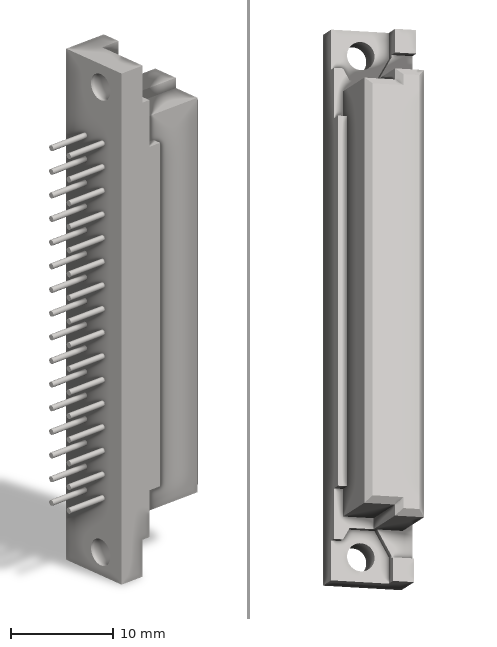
import cadquery as cq
import math

WIDTH = 8.0
HEIGHT = 54.9
FLOOR_DEPTH = 2.8
WEB_DEPTH = 3.7
RIM_DEPTH = 5.1
TOP_TAB_DEPTH = 5.0
BOTTOM_TAB_DEPTH = 4.3
SIDE_WALL = 2.15
TAB_HEIGHT = 2.35
RIM_END_GAP = 9.0

BODY_LEFT = 1.0
BODY_RIGHT = 7.1
BODY_DEPTH = 11.6
BODY_END_GAP = 5.15
BODY_STEP = 1.1
STEP_X = 3.95
BODY_CHAMFER = 0.65

HOLE_DIAMETER = 2.8
HOLE_X = 5.0
HOLE_END_GAP = 2.45
FLANK_SLOPE = math.tan(math.radians(60))

PIN_DIAMETER = 0.6
PIN_LENGTH = 4.5
PIN_ROWS = 16
PIN_ROW_SPAN = 38.1
PIN_PITCH = PIN_ROW_SPAN / (PIN_ROWS - 1)
PIN_COLUMNS = 2
PIN_FIRST_X = 2.75
PIN_FIRST_Z = (HEIGHT - PIN_ROW_SPAN) / 2


def block(x_min, x_max, depth, z_min, z_max):
    """Block standing on the pin face."""
    return (
        cq.Workplane("XY")
        .box(x_max - x_min, depth, z_max - z_min, centered=False)
        .translate((x_min, 0, z_min))
    )


def plate(outline, depth):
    """Closed X-Z outline extruded along +Y from the pin face."""
    return cq.Workplane("XZ").polyline(outline).close().extrude(-depth)


def make_flange():
    floor = block(0, WIDTH, FLOOR_DEPTH, 0, HEIGHT)
    side_wall = block(0, SIDE_WALL, WEB_DEPTH, 0, HEIGHT)
    rim = block(0, WIDTH, RIM_DEPTH, RIM_END_GAP, HEIGHT - RIM_END_GAP)
    top_tab = block(0, SIDE_WALL, TOP_TAB_DEPTH, HEIGHT - TAB_HEIGHT, HEIGHT)
    bottom_tab = block(0, SIDE_WALL, BOTTOM_TAB_DEPTH, 0, TAB_HEIGHT)
    return floor.union(side_wall).union(rim).union(top_tab).union(bottom_tab)


def make_top_seat():
    """Raised seat below the top hole: flat under the hole, flanks rising to both sides."""
    base = HEIGHT - RIM_END_GAP
    seat = HEIGHT - BODY_END_GAP
    flat_left = HOLE_X - HOLE_DIAMETER / 2
    flat_right = HOLE_X + HOLE_DIAMETER / 2
    left_top = seat + (flat_left - SIDE_WALL) * FLANK_SLOPE
    right_top = seat + (BODY_RIGHT - flat_right) * FLANK_SLOPE
    outline = [
        (SIDE_WALL, base),
        (SIDE_WALL, left_top),
        (flat_left, seat),
        (flat_right, seat),
        (BODY_RIGHT, right_top),
        (WIDTH, right_top),
        (WIDTH, base),
    ]
    return plate(outline, WEB_DEPTH)


def make_body():
    """Stepped mating body with a chamfered front."""
    bottom = BODY_END_GAP
    top = HEIGHT - BODY_END_GAP
    outline = [
        (BODY_LEFT, bottom),
        (STEP_X, bottom),
        (STEP_X, bottom + BODY_STEP),
        (BODY_RIGHT, bottom + BODY_STEP),
        (BODY_RIGHT, top - BODY_STEP),
        (STEP_X, top - BODY_STEP),
        (STEP_X, top),
        (BODY_LEFT, top),
    ]
    return plate(outline, BODY_DEPTH).faces(">Y").chamfer(BODY_CHAMFER)


def make_holes():
    centers = [(HOLE_X, HOLE_END_GAP), (HOLE_X, HEIGHT - HOLE_END_GAP)]
    return cq.Workplane("XZ").pushPoints(centers).circle(HOLE_DIAMETER / 2).extrude(-FLOOR_DEPTH)


def make_pins():
    centers = [
        (PIN_FIRST_X + column * PIN_PITCH, PIN_FIRST_Z + row * PIN_PITCH)
        for column in range(PIN_COLUMNS)
        for row in range(PIN_ROWS)
    ]
    return cq.Workplane("XZ").pushPoints(centers).circle(PIN_DIAMETER / 2).extrude(PIN_LENGTH)


top_seat = make_top_seat()
bottom_seat = top_seat.mirror("XY", (0, 0, HEIGHT / 2))

result = (
    make_flange()
    .union(top_seat)
    .union(bottom_seat)
    .union(make_body())
    .cut(make_holes())
    .union(make_pins())
)